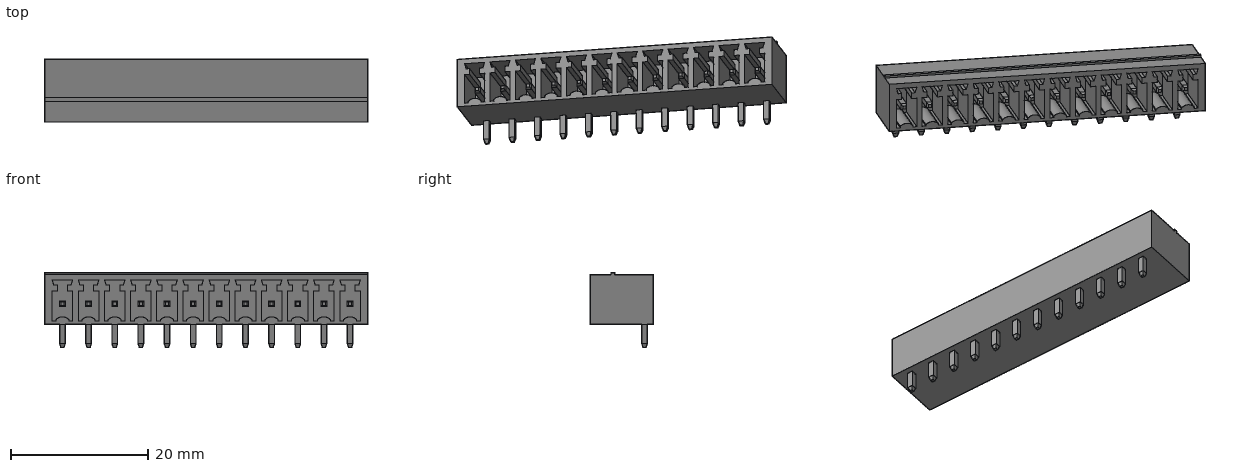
import cadquery as cq

pole_count = 12
pole_pitch = 3.81
end_margin = 2.6

housing_length = (pole_count - 1) * pole_pitch + 2 * end_margin
housing_depth = 9.2
housing_height = 7.25
front_y = -housing_depth / 2
back_y = housing_depth / 2

rib_width = 0.6
rib_height = 0.3
rib_y = front_y + 3.3

pocket_depth = 7.0
pocket_half_width = 1.5
pocket_floor_z = 0.48
pocket_roof_z = 6.5
neck_half_width = 0.75
neck_bottom_z = 4.83
neck_top_z = 5.7
keyway_half_width = 1.25
hump_half_width = 0.95
hump_top_z = 1.1
hump_edge_z = 0.68

pin_size = 0.85
pin_tip_size = 0.45
pin_taper = 0.6
contact_z = 3.0
contact_setback = 1.55
tail_y = back_y - 1.28
tail_length = 3.4

pole_positions = [(i - (pole_count - 1) / 2) * pole_pitch for i in range(pole_count)]


def make_housing():
    """Solid housing block with the rib along its top."""
    block = cq.Workplane("XY").box(
        housing_length, housing_depth, housing_height, centered=(True, True, False)
    )
    rib = (
        cq.Workplane("XY", origin=(0, rib_y, housing_height))
        .box(housing_length, rib_width, rib_height, centered=(True, True, False))
    )
    return block.union(rib)


def make_pocket(x):
    """Pocket volume of one pole: flared keyway, neck, main bay and arched floor hump."""
    return (
        cq.Workplane("XZ", origin=(x, front_y, 0))
        .moveTo(-hump_half_width, pocket_floor_z)
        .lineTo(-hump_half_width, hump_edge_z)
        .threePointArc((0, hump_top_z), (hump_half_width, hump_edge_z))
        .lineTo(hump_half_width, pocket_floor_z)
        .lineTo(pocket_half_width, pocket_floor_z)
        .lineTo(pocket_half_width, neck_bottom_z)
        .lineTo(neck_half_width, neck_bottom_z)
        .lineTo(neck_half_width, neck_top_z)
        .lineTo(keyway_half_width, neck_top_z)
        .lineTo(pocket_half_width, pocket_roof_z)
        .lineTo(-pocket_half_width, pocket_roof_z)
        .lineTo(-keyway_half_width, neck_top_z)
        .lineTo(-neck_half_width, neck_top_z)
        .lineTo(-neck_half_width, neck_bottom_z)
        .lineTo(-pocket_half_width, neck_bottom_z)
        .lineTo(-pocket_half_width, pocket_floor_z)
        .close()
        .extrude(-pocket_depth)
    )


def make_tapered_bar(start_plane, length):
    """Square bar along the plane normal, ending in a pyramidal tip."""
    shaft_length = length - pin_taper
    shaft = start_plane.rect(pin_size, pin_size).extrude(shaft_length)
    tip = (
        start_plane.workplane(offset=shaft_length)
        .rect(pin_size, pin_size)
        .workplane(offset=pin_taper)
        .rect(pin_tip_size, pin_tip_size)
        .loft(combine=False)
    )
    return shaft.union(tip)


def make_pin(x):
    """Right-angle pin: contact toward the front, solder tail downward."""
    contact_length = tail_y - front_y - contact_setback
    contact = make_tapered_bar(
        cq.Workplane("XZ", origin=(x, tail_y, contact_z)), contact_length
    )
    tail_plane = cq.Plane(origin=(x, tail_y, contact_z), xDir=(1, 0, 0), normal=(0, 0, -1))
    tail = make_tapered_bar(cq.Workplane(tail_plane), contact_z + tail_length)
    return contact.union(tail)


result = make_housing()
for pole_x in pole_positions:
    result = result.cut(make_pocket(pole_x))
for pole_x in pole_positions:
    result = result.union(make_pin(pole_x))